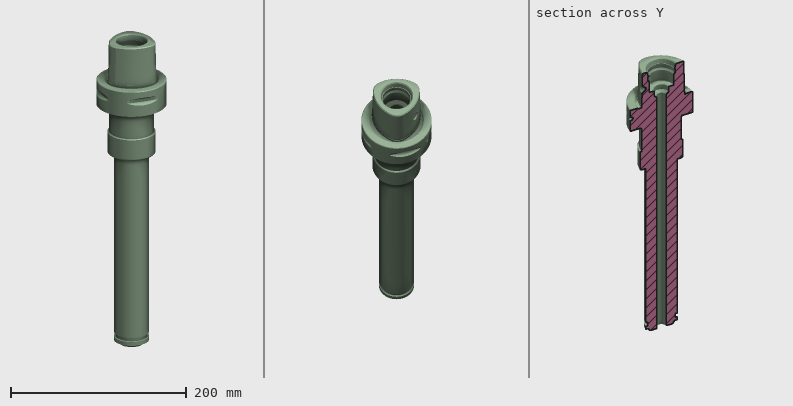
import cadquery as cq
import math

TOTAL_LENGTH = 372.0
FLANGE_TOP = TOTAL_LENGTH - 47.2
FLANGE_BOTTOM = TOTAL_LENGTH - 77.7
COLLAR_TOP = TOTAL_LENGTH - 111.2
COLLAR_BOTTOM = TOTAL_LENGTH - 138.0

FLANGE_DIAMETER = 80.0
NECK_DIAMETER = 51.0
COLLAR_DIAMETER = 55.0
BODY_DIAMETER = 40.0
EDGE_BREAK = 0.7
COLLAR_FILLET = 2.5

NECK_ROOT_WIDTH = 0.7
NECK_ROOT_HEIGHT = 2.0

GROOVE_DIAMETER = 35.7
GROOVE_TOP = 13.5
GROOVE_BOTTOM = 8.5
NOSE_TOP = 3.7
NOSE_DIAMETER = 34.0
TIP_DIAMETER = 28.5

LOBE_TOP_RADIUS = 13.5
LOBE_BASE_RADIUS = 14.5
CORNER_DISTANCE = 15.3
SHANK_CHAMFER = 1.0
FOOT_LOBE_RADIUS = 13.8
FOOT_CORNER_DISTANCE = 16.5
FOOT_HEIGHT = 2.0

RECESS_DIAMETER = 62.0
RECESS_FLOOR_DIAMETER = 59.0
RECESS_DEPTH = 1.0

MOUTH_DIAMETER = 38.0
ENTRY_DIAMETER = 35.7
ENTRY_END_DIAMETER = 33.0
LIP_DIAMETER = 32.0
UNDERCUT_DIAMETER = 34.0
BORE_DIAMETER = 30.5
ENTRY_DEPTH = 6.5
UNDERCUT_START = 7.5
UNDERCUT_END = 12.5
BORE_START = 15.0
BORE_DEPTH = 29.8
STEP_MOUTH_DIAMETER = 19.7
STEP_DIAMETER = 18.0
STEP_DEPTH = 37.2
THROUGH_DIAMETER = 12.0

SLOT_DEPTH_BELOW_TOP = 60.0
SLOT_FLOOR_DISTANCE = 35.5
SLOT_FLOOR_HEIGHT = 3.7
SLOT_FLANK_ANGLE = 31.0
SLOT_ANGLES = (45, 135, 225, 315)

SHANK_HOLE_DIAMETER = 10.0
SHANK_HOLE_DEPTH_BELOW_TOP = 23.0
SHANK_HOLE_STRAIGHT = 0.7
FLANGE_HOLE_DIAMETER = 4.0
FLANGE_HOLE_STRAIGHT = 2.0

OVERLAP = 3.7


def revolved(points):
    """Solid of revolution about Z from (radius, height) points."""
    return cq.Workplane("XZ").polyline(points).close().revolve(360, (0, 0), (0, 1))


def turned_body():
    flange_r = FLANGE_DIAMETER / 2
    neck_r = NECK_DIAMETER / 2
    collar_r = COLLAR_DIAMETER / 2
    body_r = BODY_DIAMETER / 2
    groove_r = GROOVE_DIAMETER / 2
    fillet_offset = COLLAR_FILLET * (1 - math.sqrt(0.5))
    return (
        cq.Workplane("XZ")
        .moveTo(0, 0)
        .lineTo(TIP_DIAMETER / 2, 0)
        .lineTo(NOSE_DIAMETER / 2, NOSE_TOP)
        .lineTo(body_r, NOSE_TOP)
        .lineTo(body_r, GROOVE_BOTTOM)
        .lineTo(groove_r, GROOVE_BOTTOM)
        .lineTo(groove_r, GROOVE_TOP)
        .lineTo(body_r, GROOVE_TOP)
        .lineTo(body_r, COLLAR_BOTTOM)
        .lineTo(collar_r - COLLAR_FILLET, COLLAR_BOTTOM)
        .threePointArc(
            (collar_r - fillet_offset, COLLAR_BOTTOM + fillet_offset),
            (collar_r, COLLAR_BOTTOM + COLLAR_FILLET),
        )
        .lineTo(collar_r, COLLAR_TOP - EDGE_BREAK)
        .lineTo(collar_r - EDGE_BREAK, COLLAR_TOP)
        .lineTo(neck_r, COLLAR_TOP)
        .lineTo(neck_r, FLANGE_BOTTOM - NECK_ROOT_HEIGHT)
        .lineTo(neck_r + NECK_ROOT_WIDTH, FLANGE_BOTTOM)
        .lineTo(flange_r, FLANGE_BOTTOM)
        .lineTo(flange_r, FLANGE_TOP - EDGE_BREAK)
        .lineTo(flange_r - EDGE_BREAK, FLANGE_TOP)
        .lineTo(0, FLANGE_TOP)
        .close()
        .revolve(360, (0, 0), (0, 1))
    )


def face_recess():
    floor = FLANGE_TOP - RECESS_DEPTH
    return revolved([
        (0, floor),
        (RECESS_FLOOR_DIAMETER / 2, floor),
        (RECESS_DIAMETER / 2, FLANGE_TOP),
        (0, FLANGE_TOP),
    ])


def polar(radius, angle, center=(0, 0)):
    radians = math.radians(angle)
    return (center[0] + radius * math.cos(radians), center[1] + radius * math.sin(radians))


def side_distance(corner_distance, lobe_radius):
    """Distance from the axis to the middle of a side of the rounded triangle."""
    return lobe_radius + corner_distance * (math.sqrt(3) - 1)


def lobed_outline(workplane, corner_distance, lobe_radius):
    """Rounded triangle of six tangent 60 degree arcs, with one lobe pointing along +X.

    The lobe arcs are centred on the corners of an equilateral triangle, and each side
    is a wide arc centred on the opposite corner.
    """
    side_reach = side_distance(corner_distance, lobe_radius)
    outline = workplane.moveTo(*polar(lobe_radius, -30, (corner_distance, 0)))
    for lobe_angle in (0, 120, 240):
        corner = polar(corner_distance, lobe_angle)
        next_corner = polar(corner_distance, lobe_angle + 120)
        lobe_tip = polar(corner_distance + lobe_radius, lobe_angle)
        lobe_end = polar(lobe_radius, lobe_angle + 30, corner)
        side_middle = polar(side_reach, lobe_angle + 60)
        side_end = polar(lobe_radius, lobe_angle + 90, next_corner)
        outline = outline.threePointArc(lobe_tip, lobe_end).threePointArc(side_middle, side_end)
    return outline.close()


def lobed_loft(bottom, bottom_lobe_radius, top, top_lobe_radius, corner_distance):
    """Three-lobed solid between two heights, tapering evenly on all sides."""
    base = lobed_outline(cq.Workplane(origin=(0, 0, bottom)), corner_distance, bottom_lobe_radius)
    end_plane = base.workplane(offset=top - bottom)
    return lobed_outline(end_plane, corner_distance, top_lobe_radius).loft(ruled=True)


def shank():
    base = FLANGE_TOP - RECESS_DEPTH
    chamfer_start = TOTAL_LENGTH - SHANK_CHAMFER
    end_radius = LOBE_TOP_RADIUS - SHANK_CHAMFER
    main = lobed_loft(base, LOBE_BASE_RADIUS, chamfer_start, LOBE_TOP_RADIUS, CORNER_DISTANCE)
    end = lobed_loft(chamfer_start, LOBE_TOP_RADIUS, TOTAL_LENGTH, end_radius, CORNER_DISTANCE)
    foot = lobed_loft(
        base, FOOT_LOBE_RADIUS, FLANGE_TOP + FOOT_HEIGHT, FOOT_LOBE_RADIUS, FOOT_CORNER_DISTANCE
    )
    return main.union(end).union(foot)


def axial_bore():
    mouth_r = MOUTH_DIAMETER / 2
    entry_r = ENTRY_DIAMETER / 2
    entry_end_r = ENTRY_END_DIAMETER / 2
    lip_r = LIP_DIAMETER / 2
    undercut_r = UNDERCUT_DIAMETER / 2
    bore_r = BORE_DIAMETER / 2
    step_mouth_r = STEP_MOUTH_DIAMETER / 2
    step_r = STEP_DIAMETER / 2
    through_r = THROUGH_DIAMETER / 2
    depths = [
        (0, 0),
        (mouth_r, 0),
        (entry_r, mouth_r - entry_r),
        (entry_end_r, ENTRY_DEPTH),
        (lip_r, ENTRY_DEPTH),
        (lip_r, UNDERCUT_START),
        (undercut_r, UNDERCUT_START),
        (undercut_r, UNDERCUT_END),
        (bore_r, BORE_START),
        (bore_r, BORE_DEPTH),
        (step_mouth_r, BORE_DEPTH),
        (step_r, BORE_DEPTH + step_mouth_r - step_r),
        (step_r, STEP_DEPTH),
        (through_r, STEP_DEPTH + step_r - through_r),
        (through_r, TOTAL_LENGTH),
        (0, TOTAL_LENGTH),
    ]
    return revolved([(radius, TOTAL_LENGTH - depth) for radius, depth in depths])


def gripper_slot(angle):
    outer = FLANGE_DIAMETER / 2 + OVERLAP
    floor_half = SLOT_FLOOR_HEIGHT / 2
    rise = (outer - SLOT_FLOOR_DISTANCE) * math.tan(math.radians(SLOT_FLANK_ANGLE))
    return (
        cq.Workplane("XZ")
        .polyline([
            (SLOT_FLOOR_DISTANCE, -floor_half),
            (outer, -floor_half - rise),
            (outer, floor_half + rise),
            (SLOT_FLOOR_DISTANCE, floor_half),
        ])
        .close()
        .extrude(FLANGE_DIAMETER / 2, both=True)
        .translate((0, 0, TOTAL_LENGTH - SLOT_DEPTH_BELOW_TOP))
        .rotate((0, 0, 0), (0, 0, 1), angle)
    )


def pointed_hole(diameter, straight, surface_x, height):
    """Blind hole entering along +X at surface_x, with a 90 degree conical end."""
    radius = diameter / 2
    shoulder = surface_x + straight
    return (
        cq.Workplane("XZ")
        .polyline([
            (surface_x - OVERLAP, height),
            (surface_x - OVERLAP, height + radius),
            (shoulder, height + radius),
            (shoulder + radius, height),
        ])
        .close()
        .revolve(360, (0, height), (1, height))
    )


result = turned_body().cut(face_recess()).union(shank()).cut(axial_bore())

for slot_angle in SLOT_ANGLES:
    result = result.cut(gripper_slot(slot_angle))

mean_lobe_radius = (LOBE_TOP_RADIUS + LOBE_BASE_RADIUS) / 2
shank_side_x = -side_distance(CORNER_DISTANCE, mean_lobe_radius)
shank_hole_height = TOTAL_LENGTH - SHANK_HOLE_DEPTH_BELOW_TOP
result = result.cut(
    pointed_hole(SHANK_HOLE_DIAMETER, SHANK_HOLE_STRAIGHT, shank_side_x, shank_hole_height)
)

slot_height = TOTAL_LENGTH - SLOT_DEPTH_BELOW_TOP
result = result.cut(
    pointed_hole(FLANGE_HOLE_DIAMETER, FLANGE_HOLE_STRAIGHT, -FLANGE_DIAMETER / 2, slot_height)
)